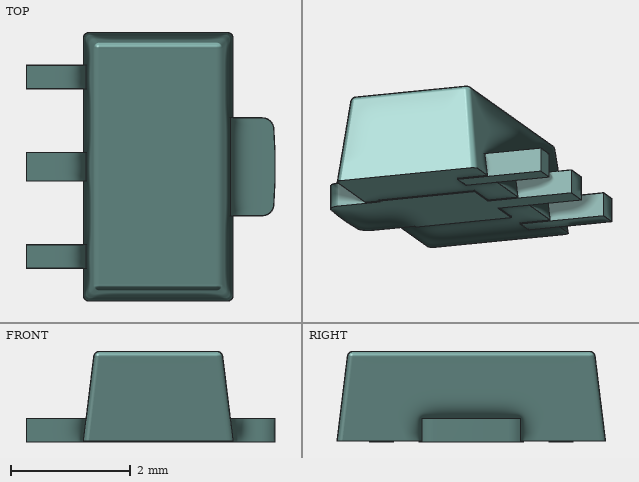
import cadquery as cq
import math

housing_width = 2.51
housing_length = 4.5
total_height = 1.52
standoff = 0.02
draft_angle = 7.0
edge_radius = 0.1
housing_height = total_height - standoff

lead_thickness = 0.4
lead_tip_x = -2.21
lead_pitch = 1.505
side_lead_width = 0.4
center_lead_width = 0.48
side_lead_inner_x = -0.72

tab_end_x = 1.96
tab_width = 1.642
tab_corner_radius = 0.2
tab_bulge = 0.04
pad_width = 1.755
pad_start_x = -0.72
pad_end_x = 0.99


def bar(start_x, end_x, width, center_y=0.0):
    """Flat bar along X, resting on Z = 0, as thick as the lead frame."""
    return (
        cq.Workplane("XY")
        .box(end_x - start_x, width, lead_thickness, centered=(False, True, False))
        .translate((start_x, center_y, 0))
    )


def make_side_lead(center_y):
    return bar(lead_tip_x, side_lead_inner_x, side_lead_width, center_y)


def make_tab():
    """Tab with a gently bowed end and two rounded corners."""
    half_width = tab_width / 2
    corner_x = tab_end_x - tab_bulge
    return (
        cq.Workplane("XY")
        .moveTo(pad_start_x, -half_width)
        .lineTo(corner_x, -half_width)
        .threePointArc((tab_end_x, 0), (corner_x, half_width))
        .lineTo(pad_start_x, half_width)
        .close()
        .extrude(lead_thickness)
        .edges("|Z")
        .edges(">X")
        .fillet(tab_corner_radius)
    )


def make_center_frame():
    """Centre lead, pad and heat-sink tab in one piece."""
    center_lead = bar(lead_tip_x, pad_start_x, center_lead_width)
    pad = bar(pad_start_x, pad_end_x, pad_width)
    return center_lead.union(pad).union(make_tab())


def make_housing(inserts):
    """Tapered, rounded block with a matching recess for every metal insert."""
    inset = housing_height * math.tan(math.radians(draft_angle))
    block = (
        cq.Workplane("XY", origin=(0, 0, standoff))
        .rect(housing_width, housing_length)
        .workplane(offset=housing_height)
        .rect(housing_width - 2 * inset, housing_length - 2 * inset)
        .loft(ruled=True)
        .edges("not <Z")
        .fillet(edge_radius)
    )
    for insert in inserts:
        block = block.cut(insert)
    return block


side_leads = [make_side_lead(side * lead_pitch) for side in (-1, 1)]
center_frame = make_center_frame()
housing = make_housing([*side_leads, center_frame])

result = cq.Compound.makeCompound(
    [housing.val(), center_frame.val(), *[lead.val() for lead in side_leads]]
)